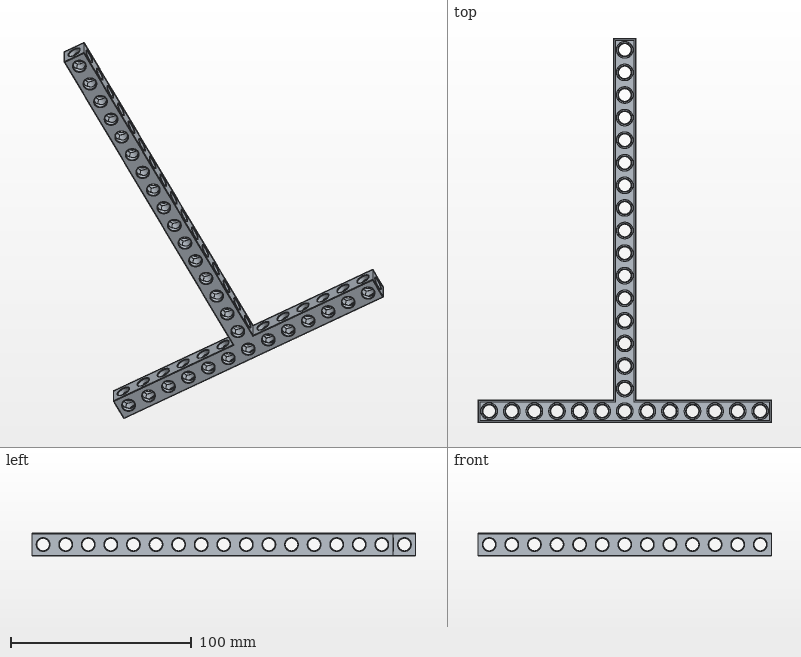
import cadquery as cq


pitch = 12.5
cross_count = 13
stem_count = 16
bore_diameter = 7.0
ring_diameter = 9.2
recess_depth = 0.2
chamfer = 0.3

half_pitch = pitch / 2
bore_radius = bore_diameter / 2
rim_width = (ring_diameter - bore_diameter) / 2
cross_length = cross_count * pitch
total_depth = (stem_count + 1) * pitch
first_cross_x = (pitch - cross_length) / 2

cross_xs = [first_cross_x + i * pitch for i in range(cross_count)]
stem_ys = [i * pitch for i in range(1, stem_count + 1)]
vertical_points = [(x, 0) for x in cross_xs] + [(0, y) for y in stem_ys]

along_x = cq.Vector(1, 0, 0)
along_y = cq.Vector(0, 1, 0)
along_z = cq.Vector(0, 0, 1)


def tee_slab(inset, bottom, height):
    """T-shaped slab whose outline lies inside the beam outline by the inset."""
    width = pitch - 2 * inset
    crossbar = cq.Workplane("XY").box(
        cross_length - 2 * inset, width, height, centered=(True, True, False)
    )
    stem = (
        cq.Workplane("XY")
        .box(width, total_depth - 2 * inset, height, centered=(True, False, False))
        .translate((0, inset - half_pitch, 0))
    )
    return crossbar.union(stem).translate((0, 0, bottom))


def bore_tool(start, direction, length):
    """Through-hole cutter, widened to a chamfer at both mouths."""
    mouth_radius = bore_radius + chamfer
    start_point = cq.Vector(*start)
    end_point = start_point + direction * length
    shank = cq.Solid.makeCylinder(bore_radius, length, start_point, direction)
    near_mouth = cq.Solid.makeCone(mouth_radius, bore_radius, chamfer, start_point, direction)
    far_mouth = cq.Solid.makeCone(mouth_radius, bore_radius, chamfer, end_point, direction * -1)
    return shank.fuse(near_mouth, far_mouth)


def chamfered_beam():
    return tee_slab(0, 0, pitch).faces(">Z or <Z").edges().chamfer(chamfer)


def top_recess():
    """Recess inside the rim, with a ring left standing around each vertical hole."""
    floor = pitch - recess_depth
    rings = (
        cq.Workplane("XY")
        .workplane(offset=floor)
        .pushPoints(vertical_points)
        .circle(ring_diameter / 2)
        .extrude(recess_depth)
    )
    return tee_slab(rim_width, floor, recess_depth).cut(rings)


def vertical_bores():
    return [bore_tool((x, y, 0), along_z, pitch) for x, y in vertical_points]


def crosswise_bores():
    """Holes through the sides of the crossbar and of the stem."""
    through_crossbar = [
        bore_tool((x, -half_pitch, half_pitch), along_y, pitch) for x in cross_xs if x != 0
    ]
    through_stem = [bore_tool((-half_pitch, y, half_pitch), along_x, pitch) for y in stem_ys]
    return through_crossbar + through_stem


def lengthwise_bores():
    """One hole down the whole crossbar and one down the whole stem."""
    down_crossbar = bore_tool((-cross_length / 2, 0, half_pitch), along_x, cross_length)
    down_stem = bore_tool((0, -half_pitch, half_pitch), along_y, total_depth)
    return [down_crossbar, down_stem]


beam = chamfered_beam().cut(top_recess()).val()
for tool in vertical_bores() + crosswise_bores() + lengthwise_bores():
    beam = beam.cut(tool)

result = cq.Workplane(obj=beam).solids()